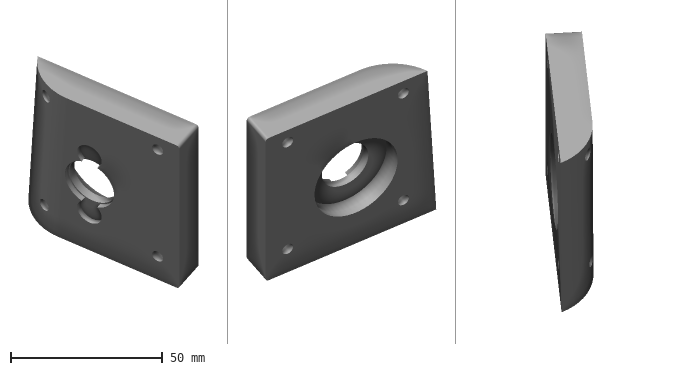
import cadquery as cq
import math

width = 65.9
thickness = 12.0
height = 65.0
corner_radius = 1.25

lean_angle = 3.0
round_width = 18.7

bore_x = 31.0
bore_z = 30.1
bore_diameter = 18.0
recess_diameter = 19.0
recess_depth = 2.0
counterbore_diameter = 32.1
counterbore_depth = 7.0

lobe_diameter = 9.5
lobe_spacing = 25.4

screw_diameter = 4.3
screw_columns = (12.7, 57.4)
screw_rows = (10.6, 59.4)


def y_cylinder(x, z, diameter, start, depth):
    """Cylinder along +Y whose near end is at Y = start."""
    direction = cq.Vector(0, 1, 0)
    return cq.Workplane(cq.Solid.makeCylinder(diameter / 2, depth, cq.Vector(x, start, z), direction))


def leaning_plate():
    block = cq.Workplane("XY").box(width, thickness, height, centered=False)
    block = block.edges("|Y and >X").fillet(corner_radius)

    reach = 2 * max(width, height)

    arc_width = round_width * math.cos(math.radians(lean_angle))
    arc_radius = (arc_width**2 + thickness**2) / (2 * thickness)
    half_sweep = math.atan2(arc_width, arc_radius - thickness) / 2
    arc_middle = (
        arc_width - arc_radius * math.sin(half_sweep),
        arc_radius * (1 - math.cos(half_sweep)),
    )
    section = (
        cq.Workplane("XY")
        .transformed(rotate=(0, lean_angle, 0))
        .moveTo(0, thickness)
        .threePointArc(arc_middle, (arc_width, 0))
        .lineTo(reach, 0)
        .lineTo(reach, thickness)
        .close()
    )
    leaning_prism = section.extrude(reach, both=True)
    return block.intersect(leaning_prism)


def cut_main_bore(body):
    body = body.cut(y_cylinder(bore_x, bore_z, bore_diameter, 0, thickness))
    body = body.cut(y_cylinder(bore_x, bore_z, recess_diameter, 0, recess_depth))
    for side in (-1, 1):
        lobe_z = bore_z + side * lobe_spacing / 2
        body = body.cut(y_cylinder(bore_x, lobe_z, lobe_diameter, 0, recess_depth))
    counterbore_start = thickness - counterbore_depth
    return body.cut(y_cylinder(bore_x, bore_z, counterbore_diameter, counterbore_start, counterbore_depth))


def cut_screw_holes(body):
    for x in screw_columns:
        for z in screw_rows:
            body = body.cut(y_cylinder(x, z, screw_diameter, 0, thickness))
    return body


result = cut_screw_holes(cut_main_bore(leaning_plate()))